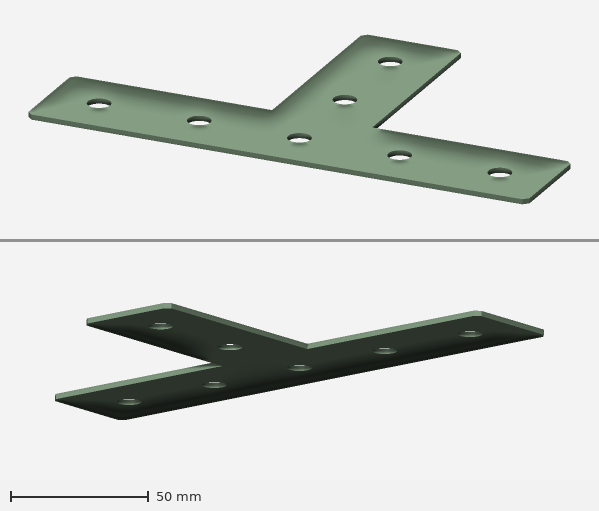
import cadquery as cq

hole_pitch = 40.0
arm_width = hole_pitch
bar_length = 5 * hole_pitch
total_depth = 3 * hole_pitch
thickness = 2.0
hole_diameter = 9.0
corner_chamfer = 2.0

half_width = arm_width / 2
stem_length = total_depth - half_width


def flat_bar(length_x, length_y, center_y):
    """Rectangular strip centred on X = 0."""
    return cq.Workplane("XY").center(0, center_y).rect(length_x, length_y).extrude(thickness)


cross_bar = flat_bar(bar_length, arm_width, 0).edges("|Z").chamfer(corner_chamfer)
stem = flat_bar(arm_width, stem_length, stem_length / 2).edges("|Z and >Y").chamfer(corner_chamfer)
plate = cross_bar.union(stem)

bar_holes = [(step * hole_pitch, 0) for step in range(-2, 3)]
stem_holes = [(0, step * hole_pitch) for step in (1, 2)]
holes = (
    cq.Workplane("XY")
    .pushPoints(bar_holes + stem_holes)
    .circle(hole_diameter / 2)
    .extrude(thickness)
)

result = plate.cut(holes)